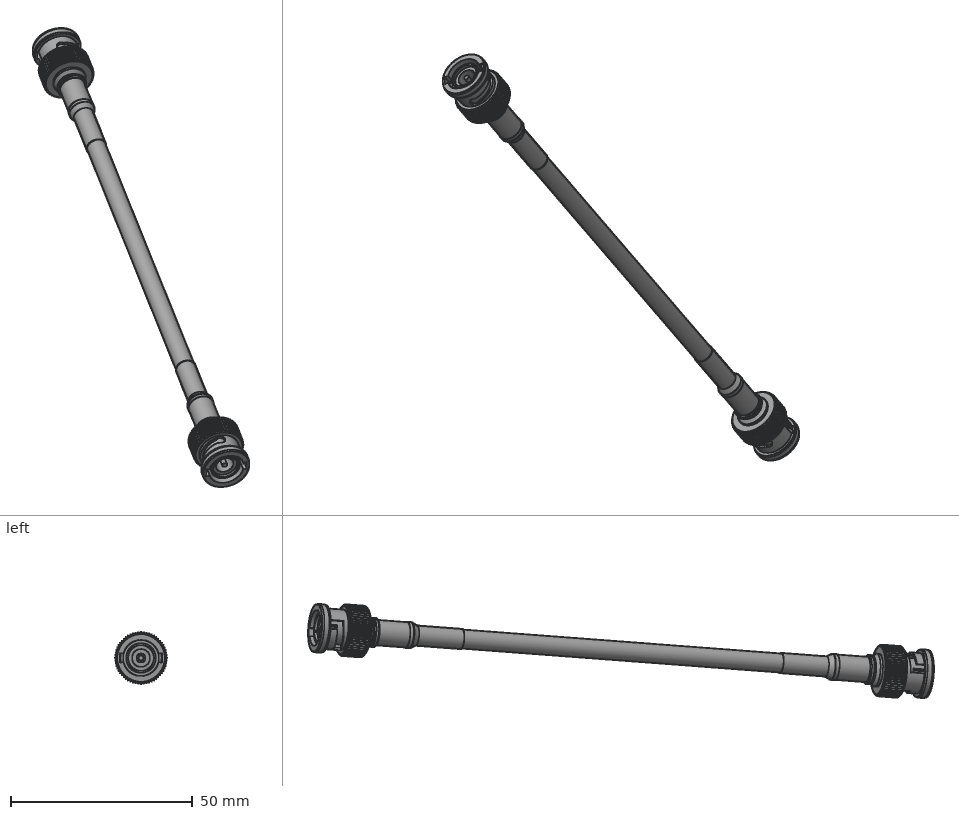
import cadquery as cq
import math

TOTAL_LENGTH = 176.8
OUTER_DIAMETER = 14.3

FLANGE_RADIUS = 6.7
FLANGE_LENGTH = 2.5
FLANGE_CHAMFER_LENGTH = 0.5
FLANGE_CHAMFER_DEPTH = 0.2
BARREL_RADIUS = 5.7
BORE_RADIUS = 5.0
BORE_DEPTH = 8.8
GRIP_RADIUS = OUTER_DIAMETER / 2
GRIP_START = 7.8
GRIP_END = 14.1
GRIP_CHAMFER = 0.5

KNURL_COUNT = 60
KNURL_DEPTH = 0.4

HUB_RADIUS = 4.6
HUB_END = 14.8
CONE_END = 15.7
NECK_RADIUS = 3.5
COLLAR_RADIUS = 4.0
COLLAR_START = 16.0
COLLAR_END = 17.5
COLLAR_CHAMFER = 0.4
FERRULE_RADIUS = 3.5
FERRULE_END = 27.4

SLEEVE_OUTER_RADIUS = 4.0
SLEEVE_INNER_RADIUS = 3.5
SLEEVE_FRONT = 0.9
SLIT_WIDTH = 0.5
SLIT_END = 5.1
INSULATOR_FRONT = 1.8
INSULATOR_HOLE_RADIUS = 2.5
PIN_FRONT = 1.8
PIN_TIP_RADIUS = 0.7
PIN_SHOULDER_FRONT = 5.3
PIN_SHOULDER_RADIUS = 1.2

ENTRY_WIDTH = 2.5
RAMP_WIDTH = 2.0
SLOT_OUTER_RADIUS = BARREL_RADIUS + 0.2
SLOT_INNER_RADIUS = (BORE_RADIUS + SLEEVE_OUTER_RADIUS) / 2
RAMP_START = 5.5
RAMP_END = 6.2
LOCK_HOLE_RADIUS = 1.33

BOOT_START = 26.3
BOOT_SHOULDER = 27.5
BOOT_TAPER_END = 29.2
BOOT_END = 42.2
BOOT_LARGE_RADIUS = FERRULE_RADIUS + 0.09
BOOT_SMALL_RADIUS = 2.8

CABLE_RADIUS = 2.7
BAND_LENGTH = 25.1


def revolved(points):
    """Turn a closed (axial, radius) outline about the X axis."""
    return cq.Workplane("XY").polyline(points).close().revolve(360, (0, 0, 0), (1, 0, 0))


def tube(start, end, outer_radius, inner_radius=0.0):
    """Round bar or tube along X."""
    section = cq.Workplane("YZ", origin=(start, 0, 0)).circle(outer_radius)
    if inner_radius:
        section = section.circle(inner_radius)
    return section.extrude(end - start)


def connector_shell():
    """Outside shape from flange to ferrule, before the bore is cut."""
    flange_rim = FLANGE_RADIUS - FLANGE_CHAMFER_DEPTH
    grip_rim = GRIP_RADIUS - GRIP_CHAMFER
    collar_rim = COLLAR_RADIUS - COLLAR_CHAMFER
    return revolved([
        (0, 0),
        (0, flange_rim),
        (FLANGE_CHAMFER_LENGTH, FLANGE_RADIUS),
        (FLANGE_LENGTH - FLANGE_CHAMFER_LENGTH, FLANGE_RADIUS),
        (FLANGE_LENGTH, flange_rim),
        (FLANGE_LENGTH, BARREL_RADIUS),
        (GRIP_START, BARREL_RADIUS),
        (GRIP_START, grip_rim),
        (GRIP_START + GRIP_CHAMFER, GRIP_RADIUS),
        (GRIP_END - GRIP_CHAMFER, GRIP_RADIUS),
        (GRIP_END, grip_rim),
        (GRIP_END, HUB_RADIUS),
        (HUB_END, HUB_RADIUS),
        (CONE_END, NECK_RADIUS),
        (COLLAR_START, NECK_RADIUS),
        (COLLAR_START, collar_rim),
        (COLLAR_START + COLLAR_CHAMFER, COLLAR_RADIUS),
        (COLLAR_END - COLLAR_CHAMFER, COLLAR_RADIUS),
        (COLLAR_END, collar_rim),
        (COLLAR_END, FERRULE_RADIUS),
        (FERRULE_END, FERRULE_RADIUS),
        (FERRULE_END, 0),
    ])


def knurl_grooves():
    """Ring around the grip whose toothed inner edge cuts the knurl."""
    half_tooth = math.pi / KNURL_COUNT
    points = []
    for i in range(2 * KNURL_COUNT):
        radius = GRIP_RADIUS - KNURL_DEPTH * (i % 2)
        points.append((radius * math.cos(i * half_tooth), radius * math.sin(i * half_tooth)))
    return (
        cq.Workplane("YZ", origin=(GRIP_START, 0, 0))
        .circle(GRIP_RADIUS + KNURL_DEPTH)
        .polyline(points)
        .close()
        .extrude(GRIP_END - GRIP_START)
    )


def bayonet_slot():
    """Cutter for one slot: entry on -Y, quarter-turn ramp and locking hole on -Z."""
    depth = SLOT_OUTER_RADIUS - SLOT_INNER_RADIUS
    middle_radius = (SLOT_OUTER_RADIUS + SLOT_INNER_RADIUS) / 2
    entry_length = RAMP_START + RAMP_WIDTH / 2
    entry = (
        cq.Workplane("XY", origin=(entry_length / 2, -middle_radius, 0))
        .box(entry_length, depth, ENTRY_WIDTH)
    )

    rise = RAMP_END - RAMP_START
    helix = cq.Wire.makeHelix(4 * rise, rise, middle_radius)
    ramp = (
        cq.Workplane("XZ")
        .center(middle_radius, 0)
        .rect(depth, RAMP_WIDTH)
        .sweep(cq.Workplane(obj=helix), isFrenet=True)
        .rotate((0, 0, 0), (0, 1, 0), 90)
        .rotate((0, 0, 0), (1, 0, 0), -90)
        .translate((RAMP_START, 0, 0))
    )

    lock_hole = (
        cq.Workplane("XY", origin=(RAMP_END, 0, -SLOT_OUTER_RADIUS))
        .circle(LOCK_HOLE_RADIUS)
        .extrude(depth)
    )
    return entry, ramp, lock_hole


def contact_sleeve():
    """Inner sleeve standing in the bore, slit open on the two entry sides."""
    sleeve = tube(SLEEVE_FRONT, BORE_DEPTH, SLEEVE_OUTER_RADIUS, SLEEVE_INNER_RADIUS)
    slit_length = SLIT_END - SLEEVE_FRONT
    slit = (
        cq.Workplane("XY", origin=(SLEEVE_FRONT + slit_length / 2, 0, 0))
        .box(slit_length, 2 * SLEEVE_OUTER_RADIUS, SLIT_WIDTH)
    )
    return sleeve.cut(slit)


def make_connector():
    """Connector with its open front at X = 0 and its ferrule toward +X."""
    connector = connector_shell().cut(knurl_grooves())
    connector = connector.cut(tube(0, BORE_DEPTH, BORE_RADIUS))
    for turn in (0, 180):
        for cutter in bayonet_slot():
            connector = connector.cut(cutter.rotate((0, 0, 0), (1, 0, 0), turn))

    insulator = tube(INSULATOR_FRONT, BORE_DEPTH, SLEEVE_INNER_RADIUS, INSULATOR_HOLE_RADIUS)
    pin_tip = tube(PIN_FRONT, PIN_SHOULDER_FRONT, PIN_TIP_RADIUS)
    pin_shoulder = tube(PIN_SHOULDER_FRONT, BORE_DEPTH, PIN_SHOULDER_RADIUS)
    for inner_part in (contact_sleeve(), insulator, pin_shoulder, pin_tip):
        connector = connector.union(inner_part)
    return connector


def make_boot():
    """Shrink boot that steps down from the ferrule to the cable."""
    return revolved([
        (BOOT_START, FERRULE_RADIUS),
        (BOOT_START, BOOT_LARGE_RADIUS),
        (BOOT_SHOULDER, BOOT_LARGE_RADIUS),
        (BOOT_TAPER_END, BOOT_SMALL_RADIUS),
        (BOOT_END, BOOT_SMALL_RADIUS),
        (BOOT_END, CABLE_RADIUS),
        (FERRULE_END, CABLE_RADIUS),
        (FERRULE_END, FERRULE_RADIUS),
    ])


def make_cable():
    """Cable between the ferrules; its surface is divided at the ends of the marked band."""
    cable_start = FERRULE_END
    cable_end = TOTAL_LENGTH - FERRULE_END
    band_start = (TOTAL_LENGTH - BAND_LENGTH) / 2
    band_end = band_start + BAND_LENGTH
    cable = tube(cable_start, band_start, CABLE_RADIUS)
    for start, end in ((band_start, band_end), (band_end, cable_end)):
        cable = cable.union(tube(start, end, CABLE_RADIUS), clean=False)
    return cable


def at_both_ends(body):
    """The body and its copy turned half a turn about the vertical line through the cable's middle."""
    middle = TOTAL_LENGTH / 2
    copies = []
    for turn in (0, 180):
        copies.append(body.rotate((middle, 0, 0), (middle, 0, 1), turn).val())
    return copies


cable = make_cable()
connectors = at_both_ends(make_connector())
boots = at_both_ends(make_boot())

result = cq.Compound.makeCompound([cable.val(), *connectors, *boots])